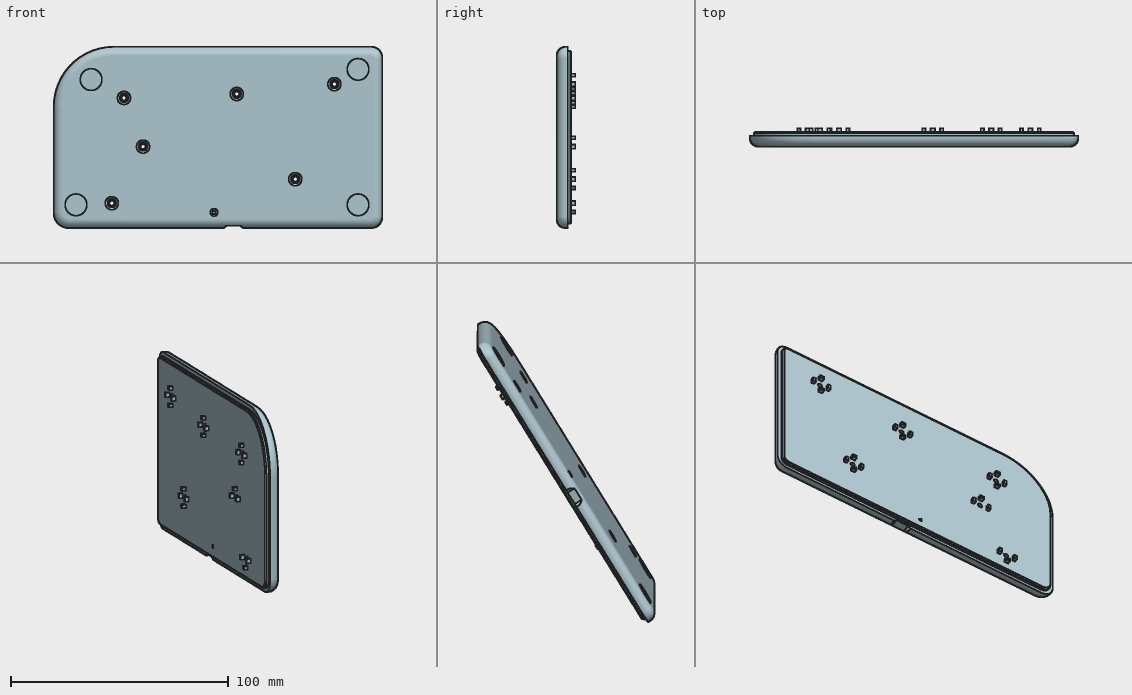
import cadquery as cq

length = 151.0
height = 83.4
body_depth = 5.1
lip_depth = 1.7
prong_height = 1.8

top_left_radius = 27.6
bottom_left_radius = 7.0
right_radius = 5.1

front_fillet = 4.1
lip_inset = 2.0
lip_chamfer = 0.6

screw_head_diameter = 6.0
screw_seat_diameter = 4.0
screw_hole_diameter = 2.3
prong_thickness = 1.4
prong_width = 2.1
prong_outer_reach = 4.8

small_hole_x = 73.7
small_hole_z = 7.3
small_head_diameter = 3.5
small_hole_diameter = 1.5

notch_x = 82.6
notch_bottom_width = 9.0
notch_top_width = 6.3
notch_depth = 1.0

foot_diameter = 10.0
foot_recess = 0.5
feet = [(17.2, 68.3), (10.3, 10.7), (139.9, 10.7), (139.9, 73.0)]

lip_back = body_depth + lip_depth
prong_tip = lip_back + prong_height

all_sides = (0, 90, 180, 270)
no_lower_side = (0, 90, 180)
no_upper_side = (0, 180, 270)
screws = [
    (32.3, 59.8, all_sides),
    (84.1, 61.6, all_sides),
    (129.0, 66.2, all_sides),
    (41.1, 37.5, no_lower_side),
    (111.0, 22.5, all_sides),
    (26.7, 11.5, no_upper_side),
]


def plane_at(y, x=0.0, z=0.0):
    """Plane parallel to the front face at depth y; extrusion runs towards the back."""
    return cq.Workplane(cq.Plane(origin=(x, y, z), xDir=(1, 0, 0), normal=(0, -1, 0)))


def slab(inset, y_front, y_back):
    """Plate with the rounded outline moved inwards by inset."""
    left = inset
    bottom = inset
    right = length - inset
    top = height - inset
    large = top_left_radius - inset
    medium = bottom_left_radius - inset
    small = right_radius - inset
    return (
        plane_at(y_front)
        .moveTo(left + medium, bottom)
        .lineTo(right - small, bottom)
        .radiusArc((right, bottom + small), -small)
        .lineTo(right, top - small)
        .radiusArc((right - small, top), -small)
        .lineTo(left + large, top)
        .radiusArc((left, top - large), -large)
        .lineTo(left, bottom + medium)
        .radiusArc((left + medium, bottom), -medium)
        .close()
        .extrude(y_front - y_back)
    )


def countersunk_hole(x, z, head_diameter, seat_diameter, hole_diameter):
    """Cutter: 45 degree cone from the front face to a flat seat, then a hole through the back."""
    cone_depth = (head_diameter - seat_diameter) / 2
    cone = cq.Solid.makeCone(
        head_diameter / 2,
        seat_diameter / 2,
        cone_depth,
        cq.Vector(x, 0, z),
        cq.Vector(0, 1, 0),
    )
    bore = plane_at(0, x, z).circle(hole_diameter / 2).extrude(-prong_tip)
    return bore.union(cq.Workplane(cone))


def prong_ring(x, z, directions):
    """Prongs with a flat outer face and a hollow inner face around one screw."""
    inner_radius = prong_outer_reach - prong_thickness
    prongs = cq.Workplane()
    for angle in directions:
        block = (
            plane_at(lip_back)
            .center(prong_outer_reach / 2, 0)
            .rect(prong_outer_reach, prong_width)
            .extrude(-prong_height)
            .rotate((0, 0, 0), (0, -1, 0), angle)
            .translate((x, 0, z))
        )
        prongs = prongs.add(block)
    core = plane_at(lip_back, x, z).circle(inner_radius).extrude(-prong_height)
    return prongs.combine().cut(core)


body = slab(0, 0, body_depth).faces("<Y").edges().fillet(front_fillet)
lip = slab(lip_inset, body_depth, lip_back).faces(">Y").edges().chamfer(lip_chamfer)
result = body.union(lip)

for foot_x, foot_z in feet:
    result = result.cut(plane_at(0, foot_x, foot_z).circle(foot_diameter / 2).extrude(-foot_recess))

notch = (
    plane_at(0, notch_x, 0)
    .polyline(
        [
            (-notch_bottom_width / 2, 0),
            (notch_bottom_width / 2, 0),
            (notch_top_width / 2, notch_depth),
            (-notch_top_width / 2, notch_depth),
        ]
    )
    .close()
    .extrude(-body_depth)
)
result = result.cut(notch)

for screw_x, screw_z, directions in screws:
    result = result.union(prong_ring(screw_x, screw_z, directions))
    result = result.cut(
        countersunk_hole(screw_x, screw_z, screw_head_diameter, screw_seat_diameter, screw_hole_diameter)
    )

result = result.cut(
    countersunk_hole(small_hole_x, small_hole_z, small_head_diameter, small_hole_diameter, small_hole_diameter)
)